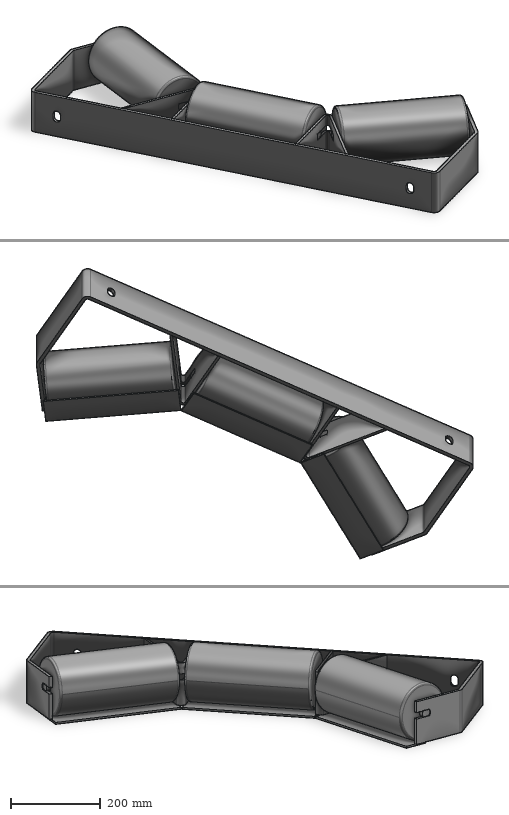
import cadquery as cq
import math

frame_length = 1000.0
bar_height = 100.0
frame_thickness = 8.0
frame_bend_radius = 6.0
arm_tip_y = 337.0
mount_slot_x = 433.0
mount_slot_width = 18.0
mount_slot_height = 27.0

bracket_thickness = 6.0
bracket_bend_radius = 5.0

trough_angle = 35.0
roller_length = 290.0
roller_diameter = 135.0
roller_edge_fillet = 5.0
roller_axis_z = 67.0
center_roller_y = 125.0
side_roller_x = 311.0
side_roller_y = 222.0
plate_gap = 4.0

shaft_diameter = 22.0
shaft_flat_width = 15.0

strip_length = 304.0
strip_width = 57.0
strip_bottom_z = -4.5

roller_radius = roller_diameter / 2
half_length = frame_length / 2
plate_offset = roller_length / 2 + plate_gap
tilt = math.radians(trough_angle)
tilt_cos = math.cos(tilt)
tilt_sin = math.sin(tilt)
tilt_tan = math.tan(tilt)
channel_run = 100.0
channel_overshoot = 20.0


def mirrored(points):
    return [(-x, y) for x, y in reversed(points)]


def fillet_bend(plate, point, radius):
    """Round the upright edge at one corner of a bent bar."""
    x, y = point
    edge = cq.selectors.NearestToPointSelector((x, y, bar_height / 2))
    return plate.edges("|Z").edges(edge).fillet(radius)


def place_on_side(body, side):
    """Move a body lying along X at the origin to the left (-1), center (0) or right (1) roller."""
    y = side_roller_y if side else center_roller_y
    turned = body.rotate((0, 0, 0), (0, 0, 1), side * trough_angle)
    return turned.translate((side * side_roller_x, y, roller_axis_z))


def shaft_bar(length):
    bar = cq.Workplane("YZ", origin=(-length / 2, 0, 0)).circle(shaft_diameter / 2).extrude(length)
    return bar.intersect(cq.Workplane("XY").box(length, shaft_diameter, shaft_flat_width))


def shaft_channel():
    """Space of the shaft and of the way by which it slides in from the back."""
    length = 2 * (plate_offset + channel_overshoot)
    way = cq.Workplane("XY").box(length, channel_run, shaft_flat_width, centered=(True, False, True))
    return shaft_bar(length).union(way)


def cut_shaft_channels(plate):
    for side in (-1, 0, 1):
        plate = plate.cut(place_on_side(shaft_channel(), side))
    return plate


def make_frame():
    arm_outer_offset = plate_offset + frame_thickness
    elbow_rise = (arm_outer_offset - (half_length - side_roller_x) * tilt_cos) / tilt_sin
    elbow_y = side_roller_y + elbow_rise
    inner_x = -half_length + frame_thickness
    outer_tip = (-half_length + (arm_tip_y - elbow_y) * tilt_tan, arm_tip_y)
    outer_elbow = (-half_length, elbow_y)
    outer_corner = (-half_length, 0)
    inner_tip = (outer_tip[0] + frame_thickness * tilt_cos, arm_tip_y - frame_thickness * tilt_sin)
    inner_elbow = (inner_x, elbow_y - frame_thickness * math.tan(tilt / 2))
    inner_corner = (inner_x, frame_thickness)

    outer = [outer_tip, outer_elbow, outer_corner]
    inner = [inner_corner, inner_elbow, inner_tip]
    outline = outer + mirrored(outer) + mirrored(inner) + inner
    frame = cq.Workplane("XY").polyline(outline).close().extrude(bar_height)

    outer_radius = frame_bend_radius + frame_thickness
    bends = [
        (outer_elbow, outer_radius),
        (outer_corner, outer_radius),
        (inner_elbow, frame_bend_radius),
        (inner_corner, frame_bend_radius),
    ]
    for (x, y), radius in bends:
        for side in (-1, 1):
            frame = fillet_bend(frame, (side * x, y), radius)

    mount_slots = (
        cq.Workplane("XZ")
        .pushPoints([(-mount_slot_x, bar_height / 2), (mount_slot_x, bar_height / 2)])
        .slot2D(mount_slot_height, mount_slot_width, 90)
        .extrude(-frame_thickness)
    )
    return cut_shaft_channels(frame.cut(mount_slots))


def make_bracket(side):
    """V bracket between the center roller and one side roller."""
    foot_y = frame_thickness

    def sloped_face_x(offset, y):
        """X of the plane square to the left roller's axis, at an offset from its middle."""
        return -side_roller_x + (offset + (y - side_roller_y) * tilt_sin) / tilt_cos

    def apex(upright_x, offset):
        y = side_roller_y + ((upright_x + side_roller_x) * tilt_cos - offset) / tilt_sin
        return (upright_x, y)

    outer_x = -plate_offset
    inner_x = outer_x - bracket_thickness
    inner_offset = plate_offset + bracket_thickness
    outer_apex = apex(outer_x, plate_offset)
    inner_apex = apex(inner_x, inner_offset)
    outline = [
        (outer_x, foot_y),
        outer_apex,
        (sloped_face_x(plate_offset, foot_y), foot_y),
        (sloped_face_x(inner_offset, foot_y), foot_y),
        inner_apex,
        (inner_x, foot_y),
    ]
    bracket = cq.Workplane("XY").polyline(outline).close().extrude(bar_height)
    bracket = fillet_bend(bracket, outer_apex, bracket_bend_radius + bracket_thickness)
    bracket = fillet_bend(bracket, inner_apex, bracket_bend_radius)
    bracket = cut_shaft_channels(bracket)
    return bracket if side < 0 else bracket.mirror("YZ")


def make_roller(side):
    drum = cq.Workplane("YZ", origin=(-roller_length / 2, 0, 0)).circle(roller_radius).extrude(roller_length)
    drum = drum.faces("<X or >X").edges().fillet(roller_edge_fillet)
    shaft = shaft_bar(2 * (plate_offset + bracket_thickness))
    strip = cq.Workplane("XY").box(strip_length, strip_width, -strip_bottom_z, centered=(True, False, False))
    strip = strip.translate((0, 0, strip_bottom_z - roller_axis_z))
    return place_on_side(drum.union(shaft).union(strip), side)


frame = make_frame()
brackets = [make_bracket(side) for side in (-1, 1)]
rollers = [make_roller(side) for side in (-1, 0, 1)]

result = cq.Compound.makeCompound(
    [frame.val()] + [bracket.val() for bracket in brackets] + [roller.val() for roller in rollers]
)